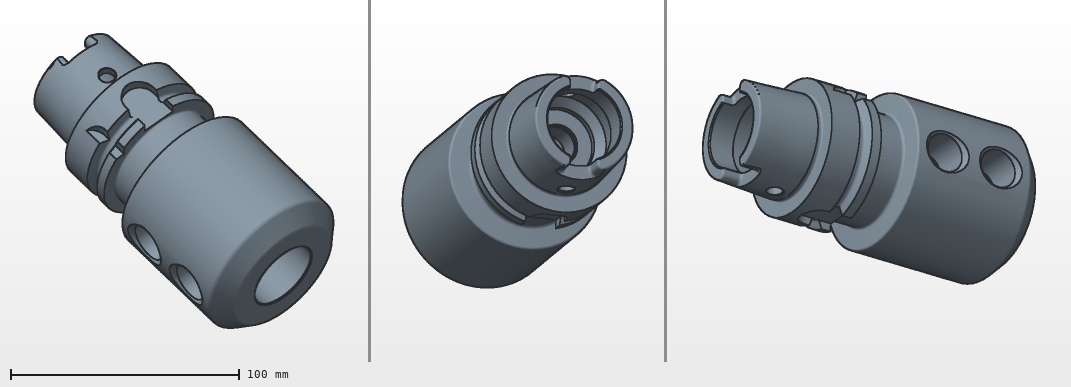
import cadquery as cq
import math


TAPER_LENGTH = 32.0
NOSE_X = 110.0
FLANGE_WIDTH = 26.0
BODY_START_X = 41.95
TAIL_X = -TAPER_LENGTH

TAPER_GAUGE_RADIUS = 48.02 / 2
TAPER_GAUGE_X = -6.3
TAPER_SLOPE = 1 / 20
TAPER_END_X = -2.4
RELIEF_START_X = -1.7
RELIEF_FILLET = 0.9
TAIL_FILLET = 1.0

FLANGE_RADIUS = 63.0 / 2
GROOVE_RADIUS = 55.0 / 2
GROOVE_CENTRE_X = 18.0
GROOVE_FLOOR_WIDTH = 3.3
GROOVE_HALF_ANGLE = math.radians(22)
GROOVE_FILLET = 1.2

NECK_RADIUS = 51.0 / 2
NECK_FRONT_FILLET = 1.2
NECK_BACK_FILLET = 0.8
BODY_RADIUS = 71.5 / 2
BODY_BACK_RUN = 0.8
BODY_BACK_FILLET = 1.0
NOSE_CHAMFER = 8.0
NOSE_FILLET = 2.0

MOUTH_RADIUS = 34.0 / 2
MOUTH_CHAMFER = 0.6
MOUTH_DEPTH = 12.6
UNDERCUT_RADIUS = 40.0 / 2
CLAMP_ANGLE = math.radians(60)
UNDERCUT_END_X = -5.0
CAVITY_FLOOR_RADIUS = 32.0 / 2
CAVITY_CONE_END_X = -1.0
CAVITY_FLOOR_X = 2.0
TUBE_RECESS_RADIUS = 18.5 / 2
TUBE_RECESS_DEPTH = 2.0
TUBE_THREAD_RADIUS = 17.0 / 2
TUBE_THREAD_DEPTH = 14.0
COOLANT_RADIUS = 8.4 / 2

BORE_RADIUS = 32.0 / 2
BORE_START_X = 51.2
BORE_MOUTH_RADIUS = 33.0 / 2

SLOT_HALF_WIDTH = 12.54 / 2
SLOT_RELIEF_RADIUS = 2.5
SLOT_SHOULDER_Z = 20.7
UPPER_SLOT_DEPTH = 6.0
LOWER_SLOT_DEPTH = 9.8
SLOT_FLOOR_FILLET = 1.5

ACCESS_HOLE_DIAMETER = 7.5
ACCESS_SINK_DIAMETER = 8.4
ACCESS_HOLE_X = -9.0
KEYWAY_WIDTH = 16.0
KEYWAY_ROUND_X = 13.0
KEYWAY_FLOOR_Z = 26.5
NOTCH_OFFSET = 19.9
SCREW_DIAMETER = 17.84
SCREW_SINK_DIAMETER = 22.3
SCREW_POSITIONS_X = (58.3, 86.3)


def taper_radius(x):
    return TAPER_GAUGE_RADIUS + (x - TAPER_GAUGE_X) * TAPER_SLOPE


def revolve_about_x(points):
    return cq.Workplane("XY").polyline(points).close().revolve(360, (0, 0, 0), (1, 0, 0))


def circles_at(body, x, radius):
    """Circular edges of the body around the X axis with the given place and radius."""
    tolerance = 0.01
    found = []
    for edge in body.edges("%CIRCLE").vals():
        centre = edge.arcCenter()
        on_axis = math.hypot(centre.y, centre.z) < tolerance
        if on_axis and abs(centre.x - x) < tolerance and abs(edge.radius() - radius) < tolerance:
            found.append(edge)
    return found


def fillet_circle(body, x, radius, fillet):
    return body.newObject(circles_at(body, x, radius)).fillet(fillet)


def make_outside():
    groove_floor_half = GROOVE_FLOOR_WIDTH / 2
    groove_run = (FLANGE_RADIUS - GROOVE_RADIUS) * math.tan(GROOVE_HALF_ANGLE)
    groove_top_half = groove_floor_half + groove_run
    body_back_x = BODY_START_X + BODY_BACK_RUN
    body = revolve_about_x([
        (TAIL_X, 0),
        (TAIL_X, taper_radius(TAIL_X)),
        (TAPER_END_X, taper_radius(TAPER_END_X)),
        (RELIEF_START_X, TAPER_GAUGE_RADIUS),
        (0, TAPER_GAUGE_RADIUS),
        (0, FLANGE_RADIUS),
        (GROOVE_CENTRE_X - groove_top_half, FLANGE_RADIUS),
        (GROOVE_CENTRE_X - groove_floor_half, GROOVE_RADIUS),
        (GROOVE_CENTRE_X + groove_floor_half, GROOVE_RADIUS),
        (GROOVE_CENTRE_X + groove_top_half, FLANGE_RADIUS),
        (FLANGE_WIDTH, FLANGE_RADIUS),
        (FLANGE_WIDTH, NECK_RADIUS),
        (BODY_START_X, NECK_RADIUS),
        (body_back_x, BODY_RADIUS),
        (NOSE_X - NOSE_CHAMFER, BODY_RADIUS),
        (NOSE_X, BODY_RADIUS - NOSE_CHAMFER),
        (NOSE_X, 0),
    ])
    body = fillet_circle(body, 0, TAPER_GAUGE_RADIUS, RELIEF_FILLET)
    for side in (-1, 1):
        body = fillet_circle(body, GROOVE_CENTRE_X + side * groove_floor_half, GROOVE_RADIUS, GROOVE_FILLET)
    body = fillet_circle(body, FLANGE_WIDTH, NECK_RADIUS, NECK_BACK_FILLET)
    body = fillet_circle(body, BODY_START_X, NECK_RADIUS, NECK_FRONT_FILLET)
    body = fillet_circle(body, body_back_x, BODY_RADIUS, BODY_BACK_FILLET)
    body = fillet_circle(body, NOSE_X - NOSE_CHAMFER, BODY_RADIUS, NOSE_FILLET)
    return fillet_circle(body, NOSE_X, BODY_RADIUS - NOSE_CHAMFER, NOSE_FILLET)


def make_cavity():
    """Everything bored from the tail: mouth, clamping undercut, coolant tube seat and coolant hole."""
    mouth_end_x = TAIL_X + MOUTH_DEPTH
    clamp_cone_run = (UNDERCUT_RADIUS - MOUTH_RADIUS) / math.tan(CLAMP_ANGLE)
    recess_floor_x = CAVITY_FLOOR_X + TUBE_RECESS_DEPTH
    thread_floor_x = CAVITY_FLOOR_X + TUBE_THREAD_DEPTH
    return revolve_about_x([
        (TAIL_X, 0),
        (TAIL_X, MOUTH_RADIUS),
        (mouth_end_x, MOUTH_RADIUS),
        (mouth_end_x + clamp_cone_run, UNDERCUT_RADIUS),
        (UNDERCUT_END_X, UNDERCUT_RADIUS),
        (CAVITY_CONE_END_X, CAVITY_FLOOR_RADIUS),
        (CAVITY_FLOOR_X, CAVITY_FLOOR_RADIUS),
        (CAVITY_FLOOR_X, TUBE_RECESS_RADIUS),
        (recess_floor_x, TUBE_RECESS_RADIUS),
        (recess_floor_x, TUBE_THREAD_RADIUS),
        (thread_floor_x, TUBE_THREAD_RADIUS),
        (thread_floor_x, COOLANT_RADIUS),
        (BORE_START_X, COOLANT_RADIUS),
        (BORE_START_X, 0),
    ])


def make_mouth_chamfer():
    return revolve_about_x([
        (TAIL_X, 0),
        (TAIL_X, MOUTH_RADIUS + MOUTH_CHAMFER),
        (TAIL_X + MOUTH_CHAMFER, MOUTH_RADIUS),
        (TAIL_X + MOUTH_CHAMFER, 0),
    ])


def make_tool_bore():
    mouth_chamfer = BORE_MOUTH_RADIUS - BORE_RADIUS
    return revolve_about_x([
        (BORE_START_X, 0),
        (BORE_START_X, BORE_RADIUS),
        (NOSE_X - mouth_chamfer, BORE_RADIUS),
        (NOSE_X, BORE_MOUTH_RADIUS),
        (NOSE_X, 0),
    ])


def make_drive_slot(depth):
    """Slot on the +Z side, from the cavity out past the rim.

    Its walls curve outward into a shoulder near the rim.
    """
    top_z = FLANGE_RADIUS
    half_top = MOUTH_RADIUS
    arc_start_z = SLOT_SHOULDER_Z - SLOT_RELIEF_RADIUS
    arc_end_y = SLOT_HALF_WIDTH + SLOT_RELIEF_RADIUS
    arc_mid_offset = SLOT_RELIEF_RADIUS * math.sin(math.radians(45))
    arc_mid_y = arc_end_y - arc_mid_offset
    arc_mid_z = arc_start_z + arc_mid_offset
    slot = (
        cq.Workplane("YZ", origin=(TAIL_X, 0, 0))
        .moveTo(-SLOT_HALF_WIDTH, 0)
        .lineTo(SLOT_HALF_WIDTH, 0)
        .lineTo(SLOT_HALF_WIDTH, arc_start_z)
        .threePointArc((arc_mid_y, arc_mid_z), (arc_end_y, SLOT_SHOULDER_Z))
        .lineTo(half_top, SLOT_SHOULDER_Z)
        .lineTo(half_top, top_z)
        .lineTo(-half_top, top_z)
        .lineTo(-half_top, SLOT_SHOULDER_Z)
        .lineTo(-arc_end_y, SLOT_SHOULDER_Z)
        .threePointArc((-arc_mid_y, arc_mid_z), (-SLOT_HALF_WIDTH, arc_start_z))
        .close()
        .extrude(depth)
    )
    return slot.faces(">X").edges().fillet(SLOT_FLOOR_FILLET)


def make_access_hole():
    """Radial hole through both walls of the taper, with a small 45 degree chamfer at each mouth."""
    radius = ACCESS_HOLE_DIAMETER / 2
    sink_radius = ACCESS_SINK_DIAMETER / 2
    surface_z = taper_radius(ACCESS_HOLE_X)
    sink_end_z = surface_z - (sink_radius - radius)
    x = ACCESS_HOLE_X
    return (
        cq.Workplane("XZ")
        .polyline([
            (x, -FLANGE_RADIUS),
            (x + sink_radius, -FLANGE_RADIUS),
            (x + sink_radius, -surface_z),
            (x + radius, -sink_end_z),
            (x + radius, sink_end_z),
            (x + sink_radius, surface_z),
            (x + sink_radius, FLANGE_RADIUS),
            (x, FLANGE_RADIUS),
        ])
        .close()
        .revolve(360, (x, 0, 0), (x, 1, 0))
    )


def make_round_ended_slot(centre_y, floor_z):
    """Milled slot along X, round at the -X end, open through the front of the flange and upward."""
    radius = KEYWAY_WIDTH / 2
    height = FLANGE_RADIUS - floor_z
    round_end = cq.Workplane("XY", origin=(KEYWAY_ROUND_X, centre_y, floor_z)).circle(radius).extrude(height)
    straight = (
        cq.Workplane("XY", origin=(KEYWAY_ROUND_X, centre_y, floor_z))
        .rect(FLANGE_WIDTH - KEYWAY_ROUND_X, KEYWAY_WIDTH)
        .extrude(height)
        .translate(((FLANGE_WIDTH - KEYWAY_ROUND_X) / 2, 0, 0))
    )
    return round_end.union(straight)


def make_screw_hole(x):
    """Clamping screw hole from the -Y side to the axis, with a 45 degree countersink."""
    radius = SCREW_DIAMETER / 2
    sink_radius = SCREW_SINK_DIAMETER / 2
    sink_depth = sink_radius - radius
    return (
        cq.Workplane("XY")
        .polyline([
            (x, 0),
            (x + radius, 0),
            (x + radius, sink_depth - BODY_RADIUS),
            (x + sink_radius, -BODY_RADIUS),
            (x, -BODY_RADIUS),
        ])
        .close()
        .revolve(360, (x, 0, 0), (x, 1, 0))
    )


def turned_over(solid):
    return solid.rotate((0, 0, 0), (1, 0, 0), 180)


def cut_tail(body):
    """Drive slots, then a rounded rim along the tail face and down the slot walls."""
    body = body.cut(make_cavity())
    body = body.cut(make_drive_slot(UPPER_SLOT_DEPTH))
    body = body.cut(turned_over(make_drive_slot(LOWER_SLOT_DEPTH)))
    bore_edges = circles_at(body, TAIL_X, MOUTH_RADIUS)
    rim_edges = []
    for edge in body.faces("<X").edges().vals():
        if not any(edge.isSame(bore_edge) for bore_edge in bore_edges):
            rim_edges.append(edge)
    body = body.newObject(rim_edges).fillet(TAIL_FILLET)
    return body.cut(make_mouth_chamfer())


def cut_flange(body):
    keyway = make_round_ended_slot(0, KEYWAY_FLOOR_Z)
    notch = make_round_ended_slot(-NOTCH_OFFSET - KEYWAY_WIDTH / 2, NOTCH_OFFSET)
    return body.cut(keyway).cut(turned_over(keyway)).cut(notch)


result = cut_flange(cut_tail(make_outside()))
result = result.cut(make_access_hole()).cut(make_tool_bore())
for screw_x in SCREW_POSITIONS_X:
    result = result.cut(make_screw_hole(screw_x))